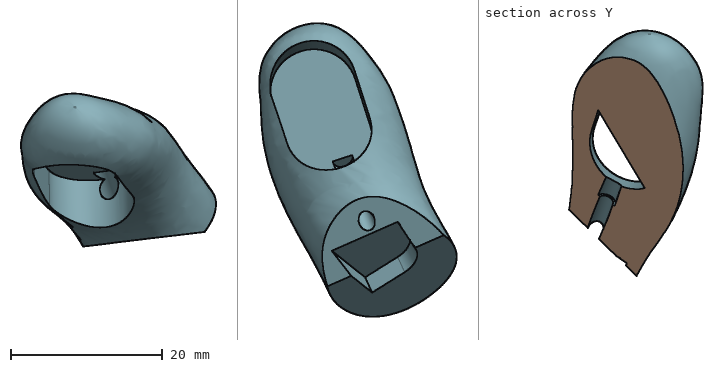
import cadquery as cq
import math


BODY_SECTIONS = [
    (-20.0, -4.0, 14.35, -4.6, 12.35, 6),
    (-14.0, -6.45, 11.95, -5.2, 12.35, 7),
    (-9.0, -8.5, 9.85, -5.8, 11.1, 12),
    (-4.0, -10.2, 7.85, -8.0, 10.0, 13),
    (2.0, -11.1, 6.7, -10.45, 7.9, 13),
    (8.0, -10.75, 5.95, -11.75, 3.75, 13),
    (12.0, -10.0, 4.6, -12.44, 0.9, 13),
    (15.0, -8.7, 2.75, -11.4, -1.55, 8),
    (17.0, -7.0, 0.65, -9.75, -3.4, 3),
    (17.9, -5.3, -1.4, -8.2, -4.95, 0),
    (18.3, -3.5, -3.2, -6.75, -6.55, 0),
]
SECTION_FULLNESS = 0.01
SECTION_POINTS = 24

BASE_CORNER = cq.Vector(-4.72, -0.88, -18.2)
BASE_TILT = math.radians(21.6)
BASE_X = cq.Vector(math.cos(BASE_TILT), 0, math.sin(BASE_TILT))
BASE_UP = cq.Vector(-math.sin(BASE_TILT), 0, math.cos(BASE_TILT))

BEVEL_EDGE_TURN = math.radians(13.4)
BEVEL_ANGLE = math.radians(43)

POCKET_DEPTH = 2.8
POCKET_LEFT_FRONT = 3.9
POCKET_LEFT_BACK = 4.5
POCKET_RIGHT = 12.9
POCKET_BACK = 6.3
POCKET_RADIUS = 3.3

RECESS_FLOOR_CENTER = cq.Vector(-3.1, -4.6, 5.9)
RECESS_OUT = cq.Vector(0.40, -0.87, -0.30)
RECESS_LONG_AXIS = cq.Vector(0.146, 0.38, -0.91)
RECESS_LENGTH = 18.2
RECESS_WIDTH = 11.4

CORD_HOLE_DIAMETER = 2.1
CORD_HOLE_MOUTH = cq.Vector(2.74, -3.0, -10.87)
CORD_HOLE_END = cq.Vector(-1.4, -1.7, 0.3)
CORD_HOLE_OVERRUN = 2.0
CORD_SEAT_DIAMETER = 2.7
CORD_SEAT_LENGTH = 6.5

CUTTER_SIZE = 60.0


def full_cosine(angle):
    """A cosine with fuller shoulders, still between -1 and 1."""
    shoulder = SECTION_FULLNESS * math.cos(3 * angle)
    return (math.cos(angle) - shoulder) / (1 - SECTION_FULLNESS)


def section_wire(height, left, right, front, back, skew):
    """A closed skewed oval that just fits the given extents."""
    center_x = (left + right) / 2
    center_y = (front + back) / 2
    half_x = (right - left) / 2
    half_y = (back - front) / 2
    back_turn = math.radians(90 - skew)
    turns = [2 * math.pi * i / SECTION_POINTS for i in range(SECTION_POINTS)]
    points = [
        cq.Vector(
            center_x + half_x * full_cosine(turn),
            center_y + half_y * full_cosine(turn - back_turn),
            height,
        )
        for turn in turns
    ]
    outline = cq.Edge.makeSpline(points, periodic=True, parameters=turns + [2 * math.pi])
    return cq.Wire.assembleEdges([outline])


def finger_body():
    wires = [section_wire(*section) for section in BODY_SECTIONS]
    return cq.Workplane(obj=cq.Solid.makeLoft(wires))


def bevel_edge():
    """Direction of the front edge of the base."""
    return BASE_X * math.cos(BEVEL_EDGE_TURN) + cq.Vector(0, math.sin(BEVEL_EDGE_TURN), 0)


def bevel_normal():
    """Outward direction of the bevel face."""
    inward = BASE_UP.cross(bevel_edge())
    return inward * -math.sin(BEVEL_ANGLE) - BASE_UP * math.cos(BEVEL_ANGLE)


def half_space(normal):
    """A large block on the side of the base corner that the normal points to."""
    plane = cq.Plane(origin=BASE_CORNER, xDir=bevel_edge(), normal=normal)
    return cq.Workplane(plane).rect(CUTTER_SIZE, CUTTER_SIZE).extrude(CUTTER_SIZE)


def base_pocket():
    """A pocket open to the front, with a straight back and a rounded right end."""
    plane = cq.Plane(origin=BASE_CORNER, xDir=BASE_X, normal=BASE_UP)
    side_slope = (POCKET_LEFT_BACK - POCKET_LEFT_FRONT) / POCKET_BACK
    front = -POCKET_BACK
    diagonal = POCKET_RADIUS * math.cos(math.radians(45))
    arc_x = POCKET_RIGHT - POCKET_RADIUS
    arc_y = POCKET_BACK - POCKET_RADIUS
    return (
        cq.Workplane(plane)
        .moveTo(POCKET_LEFT_FRONT + side_slope * front, front)
        .lineTo(POCKET_LEFT_BACK, POCKET_BACK)
        .lineTo(arc_x, POCKET_BACK)
        .threePointArc((arc_x + diagonal, arc_y + diagonal), (POCKET_RIGHT, arc_y))
        .lineTo(POCKET_RIGHT, front)
        .close()
        .extrude(POCKET_DEPTH)
    )


def pad_recess():
    plane = cq.Plane(origin=RECESS_FLOOR_CENTER, xDir=RECESS_LONG_AXIS, normal=RECESS_OUT)
    return cq.Workplane(plane).slot2D(RECESS_LENGTH, RECESS_WIDTH).extrude(CUTTER_SIZE)


def cord_hole():
    """A blind hole that is wider at its inner end."""
    run = CORD_HOLE_END - CORD_HOLE_MOUTH
    along = run.normalized()
    start = CORD_HOLE_MOUTH - along * CORD_HOLE_OVERRUN
    length = run.Length + CORD_HOLE_OVERRUN
    hole = cq.Solid.makeCylinder(CORD_HOLE_DIAMETER / 2, length, start, along)
    seat_start = CORD_HOLE_END - along * CORD_SEAT_LENGTH
    seat = cq.Solid.makeCylinder(CORD_SEAT_DIAMETER / 2, CORD_SEAT_LENGTH, seat_start, along)
    return cq.Workplane(obj=hole).union(cq.Workplane(obj=seat))


result = (
    finger_body()
    .cut(half_space(BASE_UP * -1))
    .cut(half_space(bevel_normal()))
    .cut(base_pocket())
    .cut(pad_recess())
    .cut(cord_hole())
)